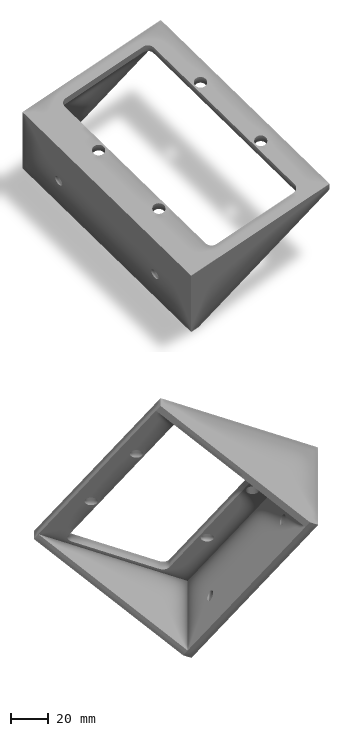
import cadquery as cq

width = 140.0
depth = 95.0
height = 50.0

plate_thickness = 5.0
front_thickness = 5.0
side_thickness = 5.0
lip = 5.0

fixing_center_y = depth / 2 + 2.5
window_margin = 7.5
window_width = width - 2 * window_margin
window_depth = 61.0
window_radius = 4.0

plate_hole_diameter = 7.0
plate_hole_spacing_x = 50.0
plate_hole_spacing_y = 70.0
wall_hole_diameter = 6.0
wall_hole_spacing = 80.0
wall_hole_height = 20.0


def wedge_body():
    """Solid wedge: full height at the front, tapering to a short lip at the back."""
    profile = [
        (0, 0),
        (lip, 0),
        (depth, height - lip),
        (depth, height),
        (0, height),
    ]
    return cq.Workplane("YZ").polyline(profile).close().extrude(width / 2, both=True)


def inner_cavity():
    """Space below the plate, behind the front wall and between the side walls."""
    return cq.Workplane("XY").box(
        width - 2 * side_thickness,
        depth - front_thickness,
        height - plate_thickness,
        centered=(True, False, False),
    ).translate((0, front_thickness, 0))


def window():
    """Rounded rectangular opening through the top plate."""
    return (
        cq.Workplane("XY", origin=(0, fixing_center_y, height - plate_thickness))
        .rect(window_width, window_depth)
        .extrude(plate_thickness)
        .edges("|Z")
        .fillet(window_radius)
    )


def plate_holes():
    """Four vertical holes through the top plate."""
    return (
        cq.Workplane("XY", origin=(0, fixing_center_y, height - plate_thickness))
        .rarray(plate_hole_spacing_x, plate_hole_spacing_y, 2, 2)
        .circle(plate_hole_diameter / 2)
        .extrude(plate_thickness)
    )


def wall_holes():
    """Two horizontal holes through the front wall."""
    return (
        cq.Workplane("XZ", origin=(0, 0, wall_hole_height))
        .rarray(wall_hole_spacing, 1.4, 2, 1)
        .circle(wall_hole_diameter / 2)
        .extrude(-front_thickness)
    )


result = wedge_body().cut(inner_cavity()).cut(window()).cut(plate_holes()).cut(wall_holes())